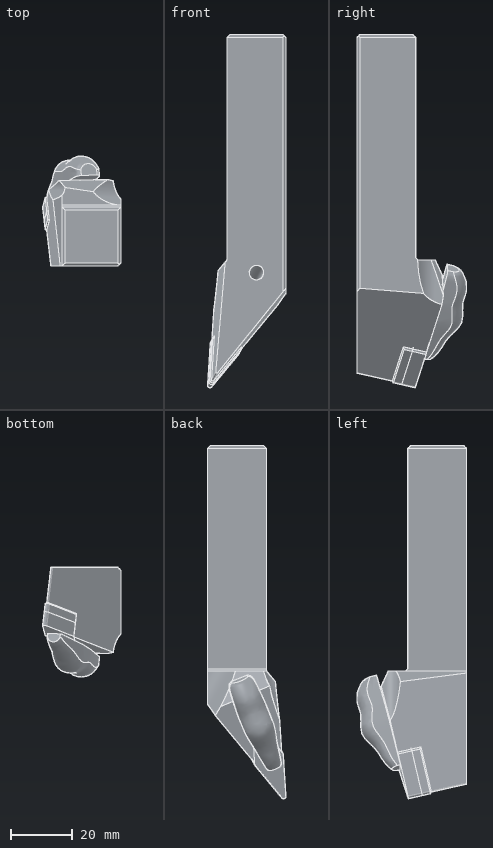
import cadquery as cq
import math

shank_side = 19.1
total_height = 114.3
shoulder_height = 41.4
top_chamfer = 1.0
corner_chamfer = 1.0
shoulder_angle = 50.0
corner_relief = 0.7

nose_x = -16.0
nose_y = 18.4
nose_z = -1.6
seat_lean_x = 0.117
seat_lean_z = 0.226

lead_angle = 5.0
insert_angle = 35.0
insert_side = 16.6
insert_thickness = 4.6
nose_radius = 0.8
shim_thickness = 3.2
shim_chamfer = 0.5
overhang = 0.5

bevel_y = 24.1
bevel_turn = 8.5
bevel_slope = 2.5

left_scoop_x = -13.6
left_scoop_y = 25.7
left_scoop_radius = 4.8
left_scoop_lean = 18.0
left_scoop_heading = 180.0
right_scoop_x = 10.2
right_scoop_y = 29.8
right_scoop_radius = 10.2
right_scoop_lean = 30.0
right_scoop_heading = 0.0

screw_hole_z = 37.3
screw_hole_radius = 2.3

clamp_sections = [
    (12.8, 2.2, 2.7),
    (14.3, 2.7, 3.8),
    (21.7, 3.9, 6.5),
    (27.4, 4.8, 9.1),
    (30.9, 4.9, 8.6),
    (33.7, 4.9, 7.9),
    (36.6, 4.8, 8.0),
    (41.1, 4.5, 7.2),
    (43.7, 4.0, 5.5),
    (44.7, 2.7, 3.9),
]
clamp_offset = 0.7
crown_ratio = 0.75

half_shank = shank_side / 2
far = 2 * total_height
trailing_angle = lead_angle + insert_angle
axis_angle = lead_angle + insert_angle / 2
half_insert_angle = math.radians(insert_angle / 2)
nose = cq.Vector(nose_x, nose_y, nose_z)
seat_normal = cq.Vector(-seat_lean_x, 1, -seat_lean_z).normalized()
seat_across = seat_normal.cross(cq.Vector(0, 0, 1))
seat = cq.Plane(origin=nose, xDir=seat_across, normal=seat_normal * -1)


def on_seat(angle, distance):
    """Seat coordinates at an angle from the upward seat direction, turning toward +X."""
    turn = math.radians(angle)
    return cq.Vector(distance * math.sin(turn), distance * math.cos(turn))


def make_rhombus(depth, thickness):
    """Rhombic plate with rounded acute corners, starting at a depth below the seat."""
    left = on_seat(lead_angle, insert_side)
    right = on_seat(trailing_angle, insert_side)
    long_diagonal = 2 * insert_side * math.cos(half_insert_angle)
    plate = (
        cq.Workplane(seat)
        .workplane(offset=depth)
        .polyline([(0, 0), left.toTuple()[:2], (left + right).toTuple()[:2], right.toTuple()[:2]])
        .close()
        .extrude(thickness)
    )
    for distance in (0, long_diagonal):
        corner = on_seat(axis_angle, distance) + cq.Vector(0, 0, depth + thickness / 2)
        corner_place = seat.toWorldCoords(corner).toTuple()
        plate = plate.edges(cq.selectors.NearestToPointSelector(corner_place)).fillet(nose_radius)
    return plate


def make_head():
    """Wedge between the two flanks, square to the seat, below a flat top and a sloped left shoulder."""
    corner = on_seat(axis_angle, overhang / math.sin(half_insert_angle))
    left = corner + on_seat(lead_angle, far)
    right = corner + on_seat(trailing_angle, far)
    wedge = cq.Workplane(seat).polyline([p.toTuple()[:2] for p in (corner, left, right)]).close().extrude(far)
    tip_place = seat.toWorldCoords(corner + cq.Vector(0, 0, far / 2)).toTuple()
    wedge = wedge.edges(cq.selectors.NearestToPointSelector(tip_place)).fillet(nose_radius - overhang)
    shoulder_fall = far * math.tan(math.radians(shoulder_angle))
    bounds = (
        cq.Workplane("XZ")
        .moveTo(half_shank, shoulder_height)
        .lineTo(-half_shank, shoulder_height)
        .lineTo(-half_shank - far, shoulder_height - shoulder_fall)
        .lineTo(half_shank, shoulder_height - shoulder_fall)
        .close()
        .extrude(-far)
    )
    return wedge.intersect(bounds)


def make_bevel_cut():
    """Everything above the sloped bevel at the back edge of the flat top."""
    return (
        cq.Workplane("YZ", origin=(0, 0, shoulder_height))
        .polyline([(0, 0), (far, 0), (far, -bevel_slope * far)])
        .close()
        .extrude(far, both=True)
        .rotate((0, 0, 0), (0, 0, 1), -bevel_turn)
        .translate((0, bevel_y, 0))
    )


def make_scoop(x, y, radius, lean, heading):
    """Cylinder whose axis crosses the flat top at (x, y) and leans outward as it goes down."""
    tilt = math.radians(lean)
    turn = math.radians(heading)
    axis = cq.Vector(math.sin(tilt) * math.cos(turn), math.sin(tilt) * math.sin(turn), -math.cos(tilt))
    place = cq.Plane(origin=(x, y, shoulder_height), normal=axis)
    return cq.Workplane(place).circle(radius).extrude(shoulder_height, both=True)


def make_shank():
    return (
        cq.Workplane("XY", origin=(0, half_shank, shoulder_height))
        .rect(shank_side, shank_side)
        .extrude(total_height - shoulder_height)
        .faces(">Z")
        .chamfer(top_chamfer)
    )


def make_corner_relief():
    return (
        cq.Workplane("YZ", origin=(-half_shank, shank_side, shoulder_height))
        .polyline([(0, 0), (corner_relief, 0), (0, corner_relief)])
        .close()
        .extrude(shank_side)
    )


def make_corner_cut():
    """Chamfer along the front right vertical edge."""
    return (
        cq.Workplane("XY", origin=(half_shank, 0, 0))
        .polyline([(0, 0), (-corner_chamfer, 0), (0, corner_chamfer)])
        .close()
        .extrude(total_height)
    )


def make_screw_hole():
    place = cq.Plane(origin=(0, 0, screw_hole_z), normal=seat_normal)
    return cq.Workplane(place).circle(screw_hole_radius).extrude(far, both=True)


def make_shim():
    shim = make_rhombus(insert_thickness, shim_thickness)
    left_edge = on_seat(lead_angle, insert_side / 2) + cq.Vector(0, 0, insert_thickness + shim_thickness)
    left_edge_place = seat.toWorldCoords(left_edge).toTuple()
    return shim.edges(cq.selectors.NearestToPointSelector(left_edge_place)).chamfer(shim_chamfer)


def make_clamp():
    bisector = on_seat(axis_angle, 1)
    axis = seat.xDir * bisector.x + seat.yDir * bisector.y
    toward_left = axis.cross(seat_normal)
    wires = []
    for distance, half_width, crown in clamp_sections:
        center = nose + axis * distance + toward_left * clamp_offset
        side_height = crown - crown_ratio * half_width
        wire = (
            cq.Workplane(cq.Plane(origin=center, xDir=toward_left, normal=axis * -1))
            .moveTo(-half_width, 0)
            .lineTo(half_width, 0)
            .lineTo(half_width, side_height)
            .threePointArc((0, crown), (-half_width, side_height))
            .close()
            .val()
        )
        wires.append(wire)
    return cq.Workplane(cq.Solid.makeLoft(wires))


def make_holder():
    """Shank, head, shim and clamp as one solid."""
    head = make_head().cut(make_bevel_cut())
    head = head.cut(make_scoop(
        left_scoop_x, left_scoop_y, left_scoop_radius, left_scoop_lean, left_scoop_heading))
    head = head.cut(make_scoop(
        right_scoop_x, right_scoop_y, right_scoop_radius, right_scoop_lean, right_scoop_heading))
    head = head.cut(make_rhombus(0, insert_thickness + shim_thickness))
    body = head.union(make_shank()).union(make_corner_relief())
    body = body.cut(make_corner_cut()).cut(make_screw_hole())
    return body.union(make_shim()).union(make_clamp())


insert = make_rhombus(0, insert_thickness)
holder = make_holder()

result = cq.Compound.makeCompound([holder.solids().val(), insert.solids().val()])